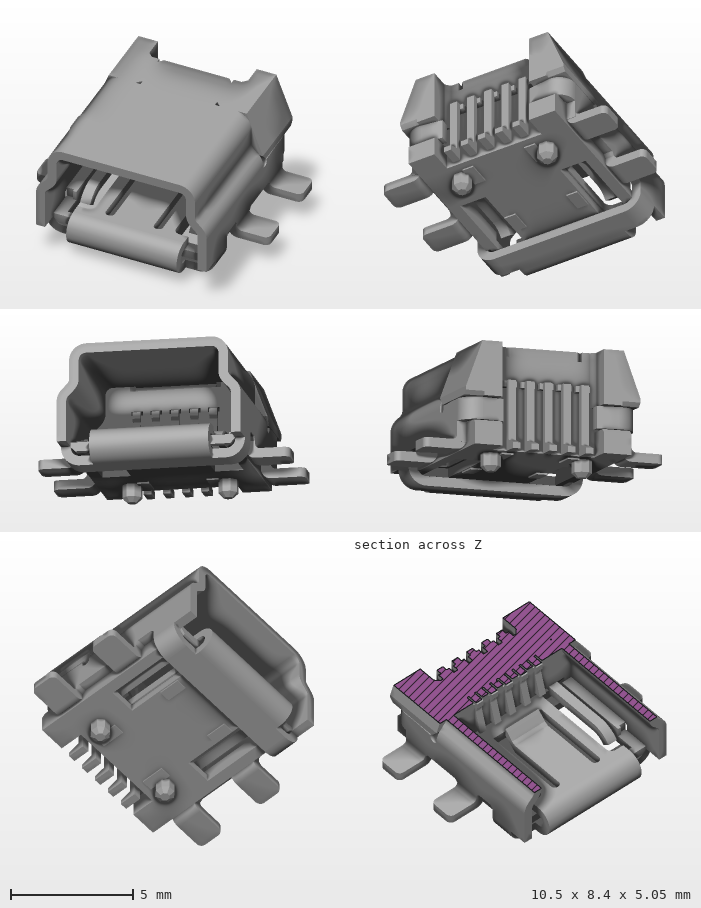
import cadquery as cq
import math

SHEET = 0.4
LENGTH = 8.4
TOP_Z = 4.39
FACE_Y = 5.5

UPPER_HALF = 3.31
LOWER_HALF = 3.83
STEP_TOP_Z = 2.80
STEP_ANGLE = 45
SIDE_BOTTOM_Z = 0.3
SHELL_BACK_Y = 7.42
BEND_OUTER = 0.7
BEND_INNER = BEND_OUTER - SHEET

INNER_HALF = LOWER_HALF - SHEET
CAVITY_TOP_Z = TOP_Z - SHEET

ROLL_HALF = 2.48
ROLL_CENTER_Z = 0.19
STRAP_Y = (0.9, 2.0)
STRAP_BOTTOM_Z = ROLL_CENTER_Z - BEND_OUTER
STRAP_BEND = 0.78
PLATE_TOP_Z = ROLL_CENTER_Z + BEND_OUTER
PLATE_BOTTOM_Z = PLATE_TOP_Z - SHEET
PLATE_HALF = 1.8
PLATE_STEP_Y = 1.15
PLATE_STEP_ROUND = 0.3

TONGUE_HALF = 0.885
TONGUE_SLOT = 0.4
TONGUE_SLOT_ROUND = 0.18
TONGUE_SLOT_Y = (1.1, 4.9)
TONGUE_TIP_Z = 1.41
TONGUE_RISE_Y = 4.0
TONGUE_KINK_Y = 4.2
TONGUE_KINK_Z = 0.99
TONGUE_TIP_Y = 4.6
TONGUE_TIP_BEVEL = 0.12

ARM_X = (2.22, 2.67)
ARM_TOP_Z = 1.1
ARM_THICKNESS = SHEET
ARM_BEND_Y = 2.75
ARM_BEND_RADIUS = 1.2
ARM_BEND_ANGLE = 55

FOOT_WIDTH = 1.2
FOOT_Y = (3.6, 6.8)
FOOT_TIP_X = 5.25
FOOT_BEND = 0.2
FOOT_CORNER = 0.25

BODY_BACK_Y = 7.36
BODY_BOTTOM_Z = 0.07
FLOOR_TOP_Z = 0.45
FLOOR_FRONT_Y = 0.83
RAIL_X = (2.94, 3.1)
RAIL_FRONT_Y = 2.0
LEDGE_FRONT_Y = 2.12
RAIL_TOP_Z = 0.87
ARM_WELL_X = (1.75, RAIL_X[0])
ARM_WELL_Y = (1.15, 5.0)
MOUTH_HALF = 2.24
LEAD_IN = 0.2
LEG_TOP_Z = 1.1
OPENINGS = (((2.0, 3.0), RAIL_TOP_Z), ((4.2, 6.2), 0.7))
OPENING_CHAMFER = 0.15

COVER_TOP_HALF = 3.10
COVER_EDGE_Z = 2.44
COVER_BOTTOM_Z = 2.11
COVER_GAP = 0.03
COVER_FRONT_BEVEL = 0.3
COVER_REAR_BEVEL = 0.17
NOTCH_HALF = 2.22
NOTCH_CORNER = 0.2
TAIL_LEAD_IN = 0.23
TAIL_HALF = 1.67
RELIEF_Z = 1.97
RELIEF_RADIUS = 0.2
RAMP_FRONT_Z = 2.03
RAMP_BACK_Y = 6.7

TAB_Z = (1.15, COVER_BOTTOM_Z - COVER_GAP)
TAB_BACK_Y = 8.28
TAB_SLANT = 0.24
TAB_END_X = 2.05
TAB_BEND = 0.74

CONTACTS = 5
PITCH = 0.8
PIN_WIDTH = 0.33
SHOULDER_WIDTH = 0.6
SHOULDER_BACK_Y = 7.66
WINDOW_WIDTH = 0.48
WINDOW_Z = (2.75, 2.93)
PIN_THICKNESS = 0.25
TAIL_BACK_Y = 7.9
PIN_HEEL_Z = 0.43
PIN_FOOT_Y = 7.7
BLADE_BOTTOM_Z = 1.29
BLADE_SLOPE_TOP_Z = 2.35
HEAD_Z = (2.45, 2.59, 2.86)
HEAD_REACH = 0.15
BLADE_CREST = 0.05
BLADE_REACH = 0.35

STANDOFF_X = (1.2, 1.7)
STANDOFF_Y = ((2.58, 3.5), (5.98, 7.0))

POST_X = 2.0
POST_Y = 6.5
POST_SIDES = 8
POST_WIDTH = 0.77
POST_TIP_Z = -0.66
POST_TAPER = 0.2


def box(x, y, z):
    """Box from three (low, high) pairs."""
    size = [high - low for low, high in (x, y, z)]
    return cq.Workplane("XY").box(*size, centered=False).translate((x[0], y[0], z[0]))


def across_y(points, y_start, y_end):
    """Prism with an X-Z outline between two Y planes."""
    return cq.Workplane("XZ", origin=(0, y_start, 0)).polyline(points).close().extrude(y_start - y_end)


def across_x(points, x_start, x_end):
    """Prism with a Y-Z outline between two X planes."""
    return cq.Workplane("YZ", origin=(x_start, 0, 0)).polyline(points).close().extrude(x_end - x_start)


def both_sides(body):
    return body.union(body.mirror("YZ"))


def mirrored_points(points):
    return points + [(-x, z) for x, z in reversed(points)]


def shell_section(inset, y_end, bottom_z):
    """Stepped shell section with rounded bends, moved inward by inset, from the mouth to y_end."""
    step_top_z = STEP_TOP_Z - inset * math.tan(math.radians(STEP_ANGLE / 2))
    step_bottom_z = step_top_z - (LOWER_HALF - UPPER_HALF) / math.tan(math.radians(STEP_ANGLE))
    top_corner = (UPPER_HALF - inset, TOP_Z - inset)
    step_top = (UPPER_HALF - inset, step_top_z)
    step_bottom = (LOWER_HALF - inset, step_bottom_z)
    foot_corner = (LOWER_HALF - inset, bottom_z)
    prism = across_y(mirrored_points([top_corner, step_top, step_bottom, foot_corner]), 0, y_end)
    convex_radius = BEND_OUTER - inset
    concave_radius = BEND_INNER + inset
    bends = [(top_corner, convex_radius), (step_top, concave_radius), (step_bottom, convex_radius)]
    for (x, z), radius in bends:
        for side in (-1, 1):
            corner = cq.selectors.NearestToPointSelector((side * x, y_end / 2, z))
            prism = prism.edges(corner).fillet(radius)
    return prism


def shell():
    outer = shell_section(0, SHELL_BACK_Y, SIDE_BOTTOM_Z)
    inner = shell_section(SHEET, SHELL_BACK_Y, SIDE_BOTTOM_Z)
    return outer.cut(inner)


def front_roll():
    """Half-round roll at the mouth with the floor plate above and the strap plate below."""
    return (cq.Workplane("YZ", origin=(-ROLL_HALF, 0, 0))
            .moveTo(PLATE_STEP_Y, PLATE_TOP_Z)
            .lineTo(BEND_OUTER, PLATE_TOP_Z)
            .threePointArc((0, ROLL_CENTER_Z), (BEND_OUTER, STRAP_BOTTOM_Z))
            .lineTo(STRAP_Y[1], STRAP_BOTTOM_Z)
            .lineTo(STRAP_Y[1], STRAP_BOTTOM_Z + SHEET)
            .lineTo(BEND_OUTER, STRAP_BOTTOM_Z + SHEET)
            .threePointArc((SHEET, ROLL_CENTER_Z), (BEND_OUTER, PLATE_BOTTOM_Z))
            .lineTo(PLATE_STEP_Y, PLATE_BOTTOM_Z)
            .close()
            .extrude(2 * ROLL_HALF))


def floor_plate():
    """Plate from the roll into the inner wall, with the raised spring tongue."""
    plate = box((-PLATE_HALF, PLATE_HALF), (PLATE_STEP_Y, FACE_Y + LEAD_IN), (PLATE_BOTTOM_Z, PLATE_TOP_Z))
    opening_y = (TONGUE_RISE_Y, TONGUE_SLOT_Y[1])
    opening = box((-TONGUE_HALF, TONGUE_HALF), opening_y, (PLATE_BOTTOM_Z, PLATE_TOP_Z))
    tongue = across_x([(TONGUE_RISE_Y, PLATE_BOTTOM_Z),
                       (TONGUE_RISE_Y, PLATE_TOP_Z),
                       (TONGUE_KINK_Y, TONGUE_KINK_Z),
                       (TONGUE_TIP_Y - TONGUE_TIP_BEVEL, TONGUE_TIP_Z - TONGUE_TIP_BEVEL),
                       (TONGUE_TIP_Y, TONGUE_TIP_Z),
                       (TONGUE_TIP_Y, TONGUE_TIP_Z - SHEET)],
                      -TONGUE_HALF, TONGUE_HALF)
    return plate.cut(opening).union(tongue)


def roll_and_plate():
    """Roll joined to the plate, with rounded corners where the plate narrows, and slotted."""
    sheet = front_roll().union(floor_plate())
    for side in (-1, 1):
        corner = (side * PLATE_HALF, PLATE_STEP_Y, (PLATE_TOP_Z + PLATE_BOTTOM_Z) / 2)
        sheet = sheet.edges(cq.selectors.NearestToPointSelector(corner)).fillet(PLATE_STEP_ROUND)
    return sheet.cut(tongue_slots())


def tongue_slots():
    """Slots, rounded at the front, on either side of the tongue."""
    slot = box((TONGUE_HALF, TONGUE_HALF + TONGUE_SLOT), TONGUE_SLOT_Y, (PLATE_BOTTOM_Z, PLATE_TOP_Z))
    return both_sides(slot.edges("|Z and <Y").fillet(TONGUE_SLOT_ROUND))


def strap():
    """Bend from each side wall under the mouth to the strap plate."""
    inner_bend = STRAP_BEND - SHEET
    x_bend = LOWER_HALF - STRAP_BEND
    z_bend = STRAP_BOTTOM_Z + STRAP_BEND
    mid = math.sqrt(0.5)
    half = (cq.Workplane("XZ", origin=(0, STRAP_Y[0], 0))
            .moveTo(ROLL_HALF - SHEET, STRAP_BOTTOM_Z)
            .lineTo(x_bend, STRAP_BOTTOM_Z)
            .threePointArc((x_bend + STRAP_BEND * mid, z_bend - STRAP_BEND * mid), (LOWER_HALF, z_bend))
            .lineTo(LOWER_HALF, z_bend + SHEET)
            .lineTo(INNER_HALF, z_bend + SHEET)
            .lineTo(INNER_HALF, z_bend)
            .threePointArc((x_bend + inner_bend * mid, z_bend - inner_bend * mid),
                           (x_bend, STRAP_BOTTOM_Z + SHEET))
            .lineTo(ROLL_HALF - SHEET, STRAP_BOTTOM_Z + SHEET)
            .close()
            .extrude(STRAP_Y[0] - STRAP_Y[1]))
    return both_sides(half)


def foot(center_y):
    """Solder foot bent outward from the lower edge of the right side wall."""
    y_range = (center_y - FOOT_WIDTH / 2, center_y + FOOT_WIDTH / 2)
    wall = box((INNER_HALF, LOWER_HALF), y_range, (0, 2 * SHEET))
    sole = box((INNER_HALF, FOOT_TIP_X), y_range, (0, SHEET))
    inside_bend = cq.selectors.NearestToPointSelector((LOWER_HALF, center_y, SHEET))
    outside_bend = cq.selectors.NearestToPointSelector((INNER_HALF, center_y, 0))
    return (wall.union(sole)
            .edges(inside_bend).fillet(FOOT_BEND)
            .edges(outside_bend).fillet(FOOT_BEND + SHEET / 2)
            .edges("|Z and >X").fillet(FOOT_CORNER))


def rear_tabs():
    """Upper rear parts of the side walls, bent inward behind the body."""
    inner_back_y = TAB_BACK_Y - SHEET
    root_y = FACE_Y + 2 * RELIEF_RADIUS
    tab = (cq.Workplane("XY", origin=(0, 0, TAB_Z[0]))
           .polyline([(LOWER_HALF, root_y), (LOWER_HALF, TAB_BACK_Y),
                      (TAB_END_X, TAB_BACK_Y - TAB_SLANT), (TAB_END_X, inner_back_y - TAB_SLANT),
                      (INNER_HALF, inner_back_y), (INNER_HALF, root_y)])
           .close()
           .extrude(TAB_Z[1] - TAB_Z[0]))
    middle_z = sum(TAB_Z) / 2
    outer_corner = (LOWER_HALF, TAB_BACK_Y, middle_z)
    inner_corner = (INNER_HALF, inner_back_y, middle_z)
    for corner, radius in ((outer_corner, TAB_BEND), (inner_corner, TAB_BEND - SHEET)):
        tab = tab.edges(cq.selectors.NearestToPointSelector(corner)).fillet(radius)
    return both_sides(tab)


def side_arms():
    """Spring arms beside the plate, curving down toward the mouth."""
    angle = math.radians(ARM_BEND_ANGLE)
    inner_radius = ARM_BEND_RADIUS - ARM_THICKNESS
    center_z = ARM_TOP_Z - ARM_BEND_RADIUS

    def on_bend(radius, turn):
        return (ARM_BEND_Y - radius * math.sin(turn), center_z + radius * math.cos(turn))

    arm = (cq.Workplane("YZ", origin=(ARM_X[0], 0, 0))
           .moveTo(FACE_Y + LEAD_IN, ARM_TOP_Z)
           .lineTo(ARM_BEND_Y, ARM_TOP_Z)
           .threePointArc(on_bend(ARM_BEND_RADIUS, angle / 2), on_bend(ARM_BEND_RADIUS, angle))
           .lineTo(*on_bend(inner_radius, angle))
           .threePointArc(on_bend(inner_radius, angle / 2), on_bend(inner_radius, 0))
           .lineTo(FACE_Y + LEAD_IN, ARM_TOP_Z - ARM_THICKNESS)
           .close()
           .extrude(ARM_X[1] - ARM_X[0]))
    return both_sides(arm)


def body():
    """Insulating body: inner wall block, floor and rails, with the wells and lead-ins cut."""
    block = shell_section(SHEET, BODY_BACK_Y, BODY_BOTTOM_Z)
    cavity = box((-LOWER_HALF, LOWER_HALF), (0, FACE_Y), (FLOOR_TOP_Z, TOP_Z))
    before_floor = box((-LOWER_HALF, LOWER_HALF), (0, RAIL_FRONT_Y), (BODY_BOTTOM_Z, TOP_Z))
    nose = box((-INNER_HALF, INNER_HALF), (FLOOR_FRONT_Y, RAIL_FRONT_Y), (BODY_BOTTOM_Z, FLOOR_TOP_Z))
    nose = nose.edges("|Y and <Z").chamfer(LEAD_IN)
    rail = box(RAIL_X, (RAIL_FRONT_Y, FACE_Y), (FLOOR_TOP_Z, RAIL_TOP_Z))
    ledge = box((RAIL_X[1], INNER_HALF), (LEDGE_FRONT_Y, FACE_Y), (FLOOR_TOP_Z, RAIL_TOP_Z))
    block = block.cut(cavity).cut(before_floor).union(nose).union(both_sides(rail.union(ledge)))
    well = box(ARM_WELL_X, ARM_WELL_Y, (BODY_BOTTOM_Z, RAIL_TOP_Z))
    pocket = across_x([(FACE_Y, FLOOR_TOP_Z), (FACE_Y, ARM_TOP_Z), (FACE_Y + 2 * LEAD_IN, FLOOR_TOP_Z)],
                      ARM_X[1], RAIL_X[1])
    plate_mouth = across_x([(FACE_Y, PLATE_TOP_Z), (FACE_Y, PLATE_TOP_Z + LEAD_IN),
                            (FACE_Y + LEAD_IN, PLATE_TOP_Z)], -MOUTH_HALF, MOUTH_HALF)
    return block.cut(both_sides(well)).cut(both_sides(pocket)).cut(plate_mouth)


def rear_legs():
    """Body legs at the rear corners."""
    leg = box((NOTCH_HALF, INNER_HALF), (BODY_BACK_Y, LENGTH), (BODY_BOTTOM_Z, LEG_TOP_Z))
    return both_sides(leg.edges("|X and >Y and >Z").chamfer(OPENING_CHAMFER))


def wall_openings():
    """Cut-outs along the lower edge of the side walls that expose the body."""
    openings = cq.Workplane("XY")
    for y_range, top_z in OPENINGS:
        opening = box((INNER_HALF, LOWER_HALF), y_range, (SIDE_BOTTOM_Z, top_z))
        openings.add(opening.edges("|X and >Z").chamfer(OPENING_CHAMFER))
    return both_sides(openings.combine())


def cover():
    """Sloped rear cover with bevelled lower ends."""
    right = [(COVER_TOP_HALF, TOP_Z), (LOWER_HALF, COVER_EDGE_Z), (LOWER_HALF, COVER_BOTTOM_Z)]
    hood = across_y(mirrored_points(right), FACE_Y, LENGTH)
    front_bevel = (COVER_EDGE_Z, FACE_Y + COVER_FRONT_BEVEL)
    rear_bevel = (COVER_BOTTOM_Z + COVER_REAR_BEVEL, LENGTH - COVER_REAR_BEVEL)
    for end_y, (bevel_z, bevel_y) in ((FACE_Y, front_bevel), (LENGTH, rear_bevel)):
        wedge = across_x([(end_y, COVER_BOTTOM_Z), (end_y, bevel_z), (bevel_y, COVER_BOTTOM_Z)],
                         INNER_HALF - SHEET, LOWER_HALF)
        hood = hood.cut(both_sides(wedge))
    return hood


def rear_notch():
    """Opening in the cover over the contact tails."""
    notch = box((-NOTCH_HALF, NOTCH_HALF), (BODY_BACK_Y, LENGTH), (COVER_BOTTOM_Z, TOP_Z))
    return notch.edges("|Z and <Y").chamfer(NOTCH_CORNER)


def cover_pockets():
    """Triangular openings at the corners of the shell tail, and the lead-in above the inner wall."""
    front = (cq.Workplane("XY", origin=(0, 0, CAVITY_TOP_Z - LEAD_IN))
             .polyline([(TAIL_HALF, FACE_Y), (TAIL_HALF + TAIL_LEAD_IN, FACE_Y),
                        (TAIL_HALF, FACE_Y + TAIL_LEAD_IN)])
             .close().extrude(SHEET + LEAD_IN))
    rear = (cq.Workplane("XY", origin=(0, 0, CAVITY_TOP_Z))
            .polyline([(TAIL_HALF, BODY_BACK_Y), (TAIL_HALF, BODY_BACK_Y - TAIL_LEAD_IN),
                       (TAIL_HALF - LEAD_IN, BODY_BACK_Y)])
            .close().extrude(SHEET))
    lead_in = across_x([(FACE_Y, CAVITY_TOP_Z - LEAD_IN), (FACE_Y, CAVITY_TOP_Z),
                        (FACE_Y + TAIL_LEAD_IN, CAVITY_TOP_Z)], 0, TAIL_HALF)
    return both_sides(front.union(rear).union(lead_in))


def shell_relief():
    """Clearance in the shell walls for the cover, ending in a round relief at the front."""
    above = box((INNER_HALF, LOWER_HALF), (FACE_Y, SHELL_BACK_Y), (TAB_Z[1], TOP_Z))
    neck = box((INNER_HALF, LOWER_HALF), (FACE_Y, FACE_Y + 2 * RELIEF_RADIUS), (RELIEF_Z, COVER_BOTTOM_Z))
    relief = (cq.Workplane("YZ", origin=(INNER_HALF, FACE_Y + RELIEF_RADIUS, RELIEF_Z))
              .circle(RELIEF_RADIUS).extrude(SHEET))
    ramp = across_x([(FACE_Y, RAMP_FRONT_Z), (RAMP_BACK_Y, TAB_Z[1]), (FACE_Y, TAB_Z[1])],
                    INNER_HALF, LOWER_HALF)
    return both_sides(above.union(neck).union(relief).union(ramp))


def contact(x):
    """One contact: sloped blade in the mouth, shoulder at the back, upright tail and solder foot."""
    left, right = x - PIN_WIDTH / 2, x + PIN_WIDTH / 2
    blade = across_x([(FACE_Y, BLADE_BOTTOM_Z), (FACE_Y - BLADE_REACH, BLADE_BOTTOM_Z),
                      (FACE_Y - BLADE_CREST, BLADE_SLOPE_TOP_Z), (FACE_Y - BLADE_CREST, HEAD_Z[0]),
                      (FACE_Y - HEAD_REACH, HEAD_Z[1]), (FACE_Y - HEAD_REACH, HEAD_Z[2]),
                      (FACE_Y, WINDOW_Z[1])], left, right)
    beam_z = (WINDOW_Z[1] - PIN_THICKNESS, WINDOW_Z[1])
    shoulder = box((x - SHOULDER_WIDTH / 2, x + SHOULDER_WIDTH / 2), (BODY_BACK_Y, SHOULDER_BACK_Y), beam_z)
    beam = box((left, right), (FACE_Y, TAIL_BACK_Y), beam_z)
    drop = box((left, right), (TAIL_BACK_Y - PIN_THICKNESS, TAIL_BACK_Y), (0, WINDOW_Z[1]))
    foot_outline = [(PIN_FOOT_Y, 0), (LENGTH, 0), (LENGTH, PIN_THICKNESS),
                    (TAIL_BACK_Y, PIN_HEEL_Z), (PIN_FOOT_Y, PIN_HEEL_Z)]
    return blade.union(shoulder).union(beam).union(drop).union(across_x(foot_outline, left, right))


def contact_window(x):
    """Opening in the inner wall above a contact blade."""
    depth = 2 * LEAD_IN
    return box((x - WINDOW_WIDTH / 2, x + WINDOW_WIDTH / 2), (FACE_Y, FACE_Y + depth), WINDOW_Z)


def posts():
    """Two octagonal locating posts with tapered tips."""
    half_sector = 180 / POST_SIDES
    across_corners = POST_WIDTH / math.cos(math.radians(half_sector))
    post = (cq.Workplane("XY", origin=(POST_X, POST_Y, POST_TIP_Z))
            .transformed(rotate=(0, 0, half_sector))
            .polygon(POST_SIDES, across_corners)
            .extrude(FLOOR_TOP_Z - POST_TIP_Z)
            .faces("<Z").chamfer(POST_TAPER))
    return both_sides(post)


def standoffs():
    """Low pads beneath the body that rest on the seating plane."""
    pads = cq.Workplane("XY")
    for y_range in STANDOFF_Y:
        pads.add(box(STANDOFF_X, y_range, (0, FLOOR_TOP_Z)))
    return both_sides(pads.combine())


def connector():
    metal = shell().cut(wall_openings()).union(rear_tabs()).cut(shell_relief())
    metal = metal.union(strap()).union(roll_and_plate()).union(side_arms())
    for center_y in FOOT_Y:
        metal = metal.union(both_sides(foot(center_y)))
    insulator = body().union(rear_legs()).union(posts()).union(standoffs())
    part = metal.union(insulator).union(cover()).cut(cover_pockets()).cut(rear_notch())
    contact_places = [(index - (CONTACTS - 1) / 2) * PITCH for index in range(CONTACTS)]
    for x in contact_places:
        part = part.cut(contact_window(x)).union(contact(x))
    return part


result = connector()